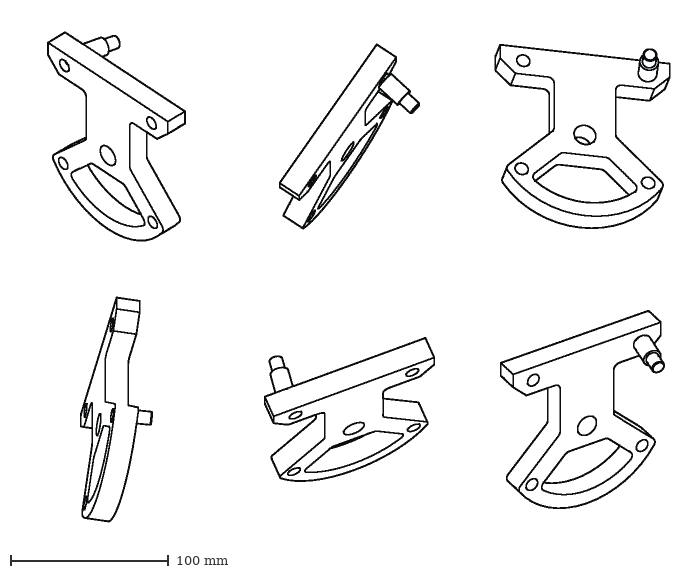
import cadquery as cq
import math


plate_thickness = 15.0
sector_radius = 60.0
window_radius = 50.0
bar_top = 60.0
bar_width = 110.0
bar_height = 20.0
bar_chamfer = 10.0
stem_half_width = 20.0
arm_width = 15.0
window_top = -15.0
corner_radius = 4.0
pivot_diameter = 14.0

hole_diameter = 8.5
bar_hole_x = 40.0
bar_hole_z = bar_top - bar_height / 2
arm_hole_x = 41.0

pin_anchor = (-40.5, plate_thickness, 50.3)
pin_slope_x = 0.153
pin_slope_z = -0.086
stub_diameter = 9.0
stub_length = 11.4
body_diameter = 11.9
body_length = 16.3
tip_diameter = 8.5
tip_length = 10.1
shoulder_gap = 1.2
pin_chamfer = 0.5

arm_offset = arm_width * math.sqrt(2)
bar_bottom = bar_top - bar_height
arm_root_z = arm_offset - stem_half_width
arm_hole_z = arm_offset / 2 - arm_hole_x
arm_end_x = (arm_offset + math.sqrt(2 * sector_radius**2 - arm_offset**2)) / 2
arm_end_z = arm_offset - arm_end_x
window_corner = window_radius / math.sqrt(2)


def round_corners(solid, corners):
    """Fillet the edges along Y at the given (x, z) corners and their mirror images."""
    for x, z in corners:
        for side in (-1, 1):
            edge = cq.selectors.NearestToPointSelector((side * x, plate_thickness / 2, z))
            solid = solid.edges("|Y").edges(edge).fillet(corner_radius)
    return solid


def make_blank():
    """Top bar, stem and arms closed by the sector arc."""
    half_bar = bar_width / 2
    blank = (
        cq.Workplane("XZ")
        .moveTo(-arm_end_x, arm_end_z)
        .lineTo(-stem_half_width, arm_root_z)
        .lineTo(-stem_half_width, bar_bottom)
        .lineTo(-half_bar + bar_chamfer, bar_bottom)
        .lineTo(-half_bar, bar_bottom + bar_chamfer)
        .lineTo(-half_bar, bar_top)
        .lineTo(half_bar, bar_top)
        .lineTo(half_bar, bar_bottom + bar_chamfer)
        .lineTo(half_bar - bar_chamfer, bar_bottom)
        .lineTo(stem_half_width, bar_bottom)
        .lineTo(stem_half_width, arm_root_z)
        .lineTo(arm_end_x, arm_end_z)
        .threePointArc((0, -sector_radius), (-arm_end_x, arm_end_z))
        .close()
        .extrude(-plate_thickness)
    )
    corners = [(stem_half_width, bar_bottom), (stem_half_width, arm_root_z), (arm_end_x, arm_end_z)]
    return round_corners(blank, corners)


def make_window():
    """Opening between the arms and the sector rim."""
    window = (
        cq.Workplane("XZ")
        .moveTo(-window_corner, -window_corner)
        .lineTo(window_top, window_top)
        .lineTo(-window_top, window_top)
        .lineTo(window_corner, -window_corner)
        .threePointArc((0, -window_radius), (-window_corner, -window_corner))
        .close()
        .extrude(-plate_thickness)
    )
    return round_corners(window, [(window_top, window_top), (window_corner, -window_corner)])


def make_hole(x, z, diameter):
    """Cutter for a through hole along Y."""
    return cq.Workplane("XZ").center(x, z).circle(diameter / 2).extrude(-plate_thickness)


def make_pin():
    """Stub, larger body and tip, stacked along the tilted axis."""
    axis = cq.Vector(pin_slope_x, 1, pin_slope_z).normalized()
    shoulder = cq.Vector(*pin_anchor) + axis * shoulder_gap
    stub_end = shoulder - axis * stub_length
    body_end = shoulder + axis * body_length

    def section(start, diameter, length):
        plane = cq.Plane(origin=start.toTuple(), normal=axis.toTuple())
        return cq.Workplane(plane).circle(diameter / 2).extrude(length)

    stub = section(stub_end, stub_diameter, stub_length)
    stub = stub.faces("<Y").chamfer(pin_chamfer)
    body = section(shoulder, body_diameter, body_length)
    tip = section(body_end, tip_diameter, tip_length)
    tip = tip.faces(">Y").chamfer(pin_chamfer)
    return stub.union(body).union(tip)


def make_plate(pin):
    """Plate with its window and holes, and a tilted seat that fits the pin."""
    plate = make_blank().cut(make_window()).cut(make_hole(0, 0, pivot_diameter))
    for side in (-1, 1):
        plate = plate.cut(make_hole(side * bar_hole_x, bar_hole_z, hole_diameter))
        plate = plate.cut(make_hole(side * arm_hole_x, arm_hole_z, hole_diameter))
    return plate.cut(pin)


pin = make_pin()
plate = make_plate(pin)

result = cq.Compound.makeCompound([plate.solids().val(), pin.solids().val()])